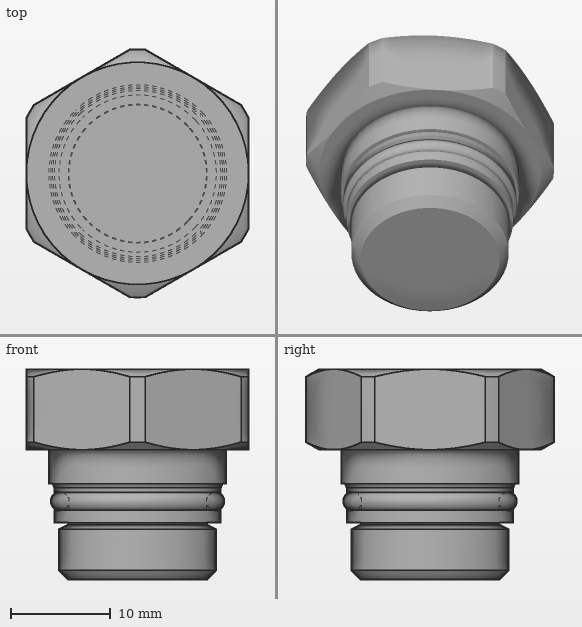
import cadquery as cq
import math

across_flats = 22.23
across_corners = 24.85
head_height = 8.05
head_chamfer_angle = 30.0

total_height = 21.05
collar_bottom = 9.6
relief_bottom = 9.17
groove_top = 8.75
groove_bottom = 6.93
land_bottom = 5.7
neck_bottom = 5.5
shank_top = 5.02
tip_chamfer_height = 0.92

collar_radius = 8.9
relief_radius = 8.52
land_radius = 8.32
shank_radius = 7.87
neck_radius = 6.95
tip_radius = 6.95

seal_section_radius = (groove_top - groove_bottom) / 2
seal_outer_radius = 8.7
seal_center_radius = seal_outer_radius - seal_section_radius
seal_center_height = (groove_top + groove_bottom) / 2
groove_radius = seal_center_radius - seal_section_radius

head_bottom = total_height - head_height


def revolve_profile(points):
    """Revolve a closed (radius, height) profile about the Z axis."""
    return cq.Workplane("XZ").polyline(points).close().revolve(360, (0, 0), (0, 1))


def make_head():
    """Hexagon with flats facing X, rounded corners and chamfered ends."""
    flat_radius = across_flats / 2
    corner_radius = across_corners / 2
    chamfer_height = (corner_radius - flat_radius) * math.tan(math.radians(head_chamfer_angle))
    hexagon = (
        cq.Workplane("XY", origin=(0, 0, head_bottom))
        .polygon(6, across_flats, circumscribed=True)
        .extrude(head_height)
    )
    envelope = revolve_profile([
        (0, head_bottom),
        (flat_radius, head_bottom),
        (corner_radius, head_bottom + chamfer_height),
        (corner_radius, total_height - chamfer_height),
        (flat_radius, total_height),
        (0, total_height),
    ])
    return hexagon.intersect(envelope)


def make_shank():
    """Turned plug below the head: collar, seal groove, neck and chamfered tip."""
    return revolve_profile([
        (0, 0),
        (tip_radius, 0),
        (shank_radius, tip_chamfer_height),
        (shank_radius, shank_top),
        (neck_radius, neck_bottom),
        (neck_radius, land_bottom),
        (land_radius, land_bottom),
        (land_radius, groove_bottom),
        (groove_radius, groove_bottom),
        (groove_radius, groove_top),
        (land_radius, groove_top),
        (land_radius, relief_bottom),
        (relief_radius, collar_bottom),
        (collar_radius, collar_bottom),
        (collar_radius, head_bottom),
        (0, head_bottom),
    ])


def make_seal():
    """O-ring seated in the groove."""
    return (
        cq.Workplane("XZ")
        .center(seal_center_radius, seal_center_height)
        .circle(seal_section_radius)
        .revolve(360, (-seal_center_radius, 0), (-seal_center_radius, 1))
    )


plug = make_head().union(make_shank())
seal = make_seal()

result = cq.Compound.makeCompound([plug.solids().val(), seal.val()])